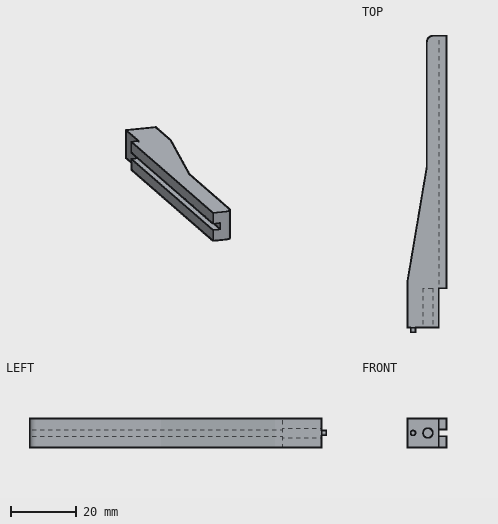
import cadquery as cq

width = 12.0
length = 90.8
height = 9.0

pin_length = 1.45
body_length = length - pin_length
step_length = 12.0
taper_start = 14.3
taper_end = 49.2

step_depth = 2.4
tip_width = 6.1
corner_radius = 2.0
slot_height = 2.0

pin_diameter = 1.5
pin_x = 1.7
bore_diameter = 3.0
bore_x = 6.3
bore_depth = 12.0


def front_y(distance):
    """Y coordinate at a distance behind the front face."""
    return pin_length + distance


def make_body():
    """Tapered arm with a relieved front right corner and one rounded tip corner."""
    neck_x = width - step_depth
    tip_x = width - tip_width
    outline = [
        (0, front_y(0)),
        (neck_x, front_y(0)),
        (neck_x, front_y(step_length)),
        (width, front_y(step_length)),
        (width, length),
        (tip_x, length),
        (tip_x, front_y(taper_end)),
        (0, front_y(taper_start)),
    ]
    body = cq.Workplane("XY").polyline(outline).close().extrude(height / 2, both=True)
    tip_corner = cq.selectors.NearestToPointSelector((tip_x, length, 0))
    return body.edges(tip_corner).fillet(corner_radius)


def make_slot():
    """Groove along the right side, as deep as the front step."""
    return (
        cq.Workplane("XY")
        .box(step_depth, body_length, slot_height, centered=(False, False, True))
        .translate((width - step_depth, front_y(0), 0))
    )


def make_cylinder(x, diameter, y_start, depth):
    """Cylinder along +Y at mid height."""
    axis_start = cq.Vector(x, y_start, 0)
    return cq.Workplane(cq.Solid.makeCylinder(diameter / 2, depth, axis_start, cq.Vector(0, 1, 0)))


pin = make_cylinder(pin_x, pin_diameter, 0, pin_length)
bore = make_cylinder(bore_x, bore_diameter, front_y(0), bore_depth)

result = make_body().cut(make_slot()).cut(bore).union(pin)